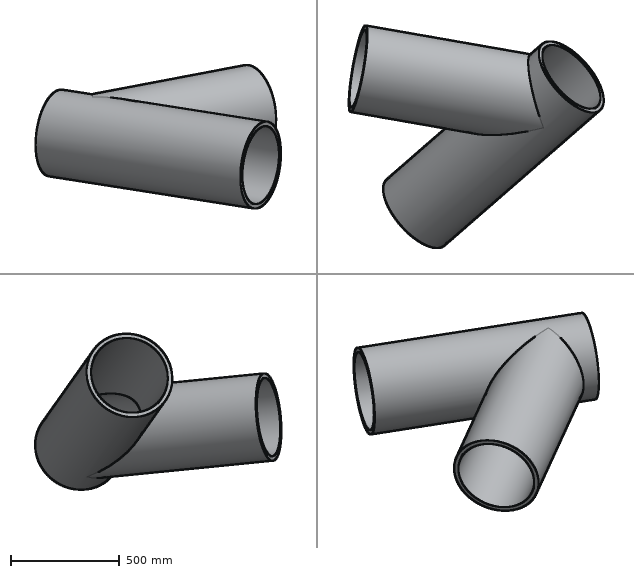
import cadquery as cq
import math

outer_diameter = 406.4
bore_diameter = 363.52
branch_angle = 60.0
run_short_end = 190.5
run_long_end = 876.3
branch_length = run_long_end


def cylinder(diameter, start, direction, length):
    """Solid cylinder from a start point along a direction."""
    return cq.Workplane(
        cq.Solid.makeCylinder(diameter / 2, length, cq.Vector(*start), cq.Vector(*direction))
    )


def run_cylinder(diameter):
    """Cylinder along the full length of the straight run."""
    return cylinder(diameter, (-run_short_end, 0, 0), (1, 0, 0), run_short_end + run_long_end)


def branch_cylinder(diameter):
    """Cylinder from the axis crossing out to the branch end."""
    angle = math.radians(branch_angle)
    return cylinder(diameter, (0, 0, 0), (math.cos(angle), math.sin(angle), 0), branch_length)


body = run_cylinder(outer_diameter).union(branch_cylinder(outer_diameter))
result = body.cut(run_cylinder(bore_diameter)).cut(branch_cylinder(bore_diameter))